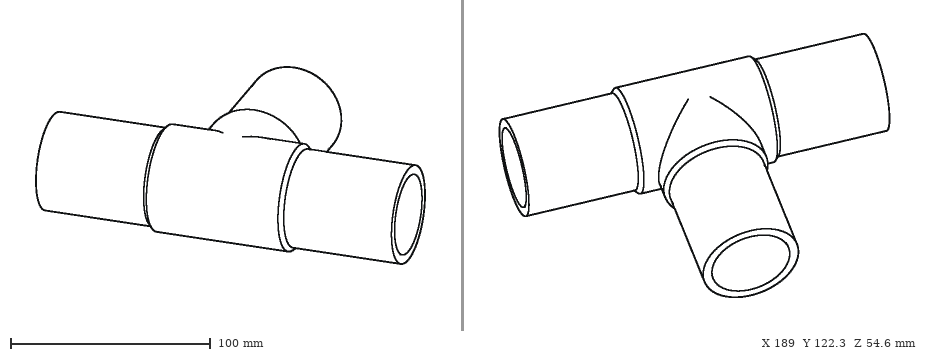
import cadquery as cq

run_length = 189.0
overall_width = 122.3
spigot_diameter = 50.0
body_diameter = 54.6
bore_diameter = 40.8
body_half_length = 37.2
branch_body_length = 38.2

spigot_radius = spigot_diameter / 2
body_radius = body_diameter / 2
bore_radius = bore_diameter / 2
taper = body_radius - spigot_radius
run_half_length = run_length / 2
branch_length = overall_width - body_radius


def arm(direction, body_length, length):
    """Stepped round arm from the tee centre, tapering from body to spigot."""
    plane = cq.Plane(origin=(0, 0, 0), xDir=(0, 0, 1), normal=direction)
    body = cq.Workplane(plane).circle(body_radius).extrude(body_length)
    body = body.faces(cq.selectors.DirectionMinMaxSelector(cq.Vector(direction))).chamfer(taper)
    spigot = cq.Workplane(plane).circle(spigot_radius).extrude(length)
    return body.union(spigot)


def bore(direction, length):
    """Round passage from the tee centre to the end of an arm."""
    plane = cq.Plane(origin=(0, 0, 0), xDir=(0, 0, 1), normal=direction)
    return cq.Workplane(plane).circle(bore_radius).extrude(length)


arms = [
    ((-1, 0, 0), body_half_length, run_half_length),
    ((1, 0, 0), body_half_length, run_half_length),
    ((0, 1, 0), branch_body_length, branch_length),
]

result = arm(*arms[0])
for arm_sizes in arms[1:]:
    result = result.union(arm(*arm_sizes))
for direction, _, length in arms:
    result = result.cut(bore(direction, length))